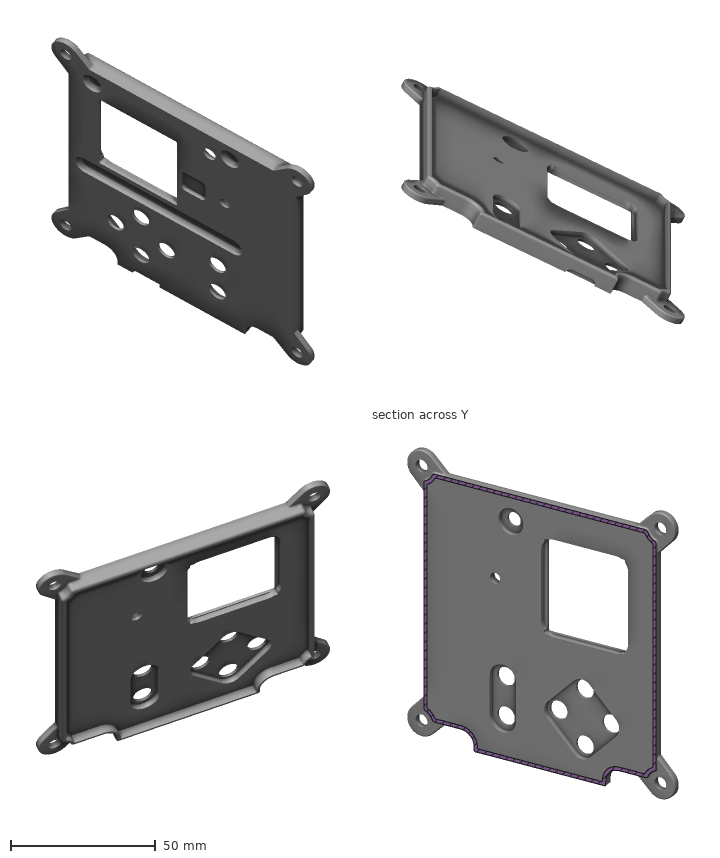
import cadquery as cq
import math

outer_side = 109.0
body_depth = 6.3
body_half = 47.3
scallop_radius = 5.0
scallop_edge_round = 1.3
back_edge_round = 1.0
tongue_half_width = 26.8
tongue_fillet = 5.3
tongue_corner_round = 0.4

floor_thickness = 3.0
side_wall = 1.5
front_skin = 1.0

ear_radius = 6.0
ear_thickness = 2.4
ear_edge_round = 0.49
ear_joint_fillet = 0.7
ear_root = 38.6
ear_hole_diameter = 4.8
ear_center = outer_side / 2 - ear_radius
corner_signs = [(x, z) for x in (-1, 1) for z in (-1, 1)]

window_center = (-18.2, 15.5)
window_size = (32.9, 36.1)
window_corner_radius = 0.7
screen_margin = 1.2
screen_sill = 0.5
screen_corner_radius = 5.0

button_hole_diameter = 7.1
pad_center = (-17.0, -31.5)
pad_hole_offset = 10.7
pad_recess_side = 24.2
pad_recess_corner_radius = 4.6
action_center = (15.0, -31.5)
action_hole_spacing = 15.0
action_recess_radius = 5.3

magnet_centers = [(-37.5, 40.2), (20.3, 40.2)]
magnet_radius = 4.0
magnet_depth = 2.6
square_center = (5.0, 13.5)
square_side = 10.1
square_corner_radius = 2.0
square_depth = 1.5
slot_center = (-9.5, -8.6)
slot_length = 70.0
slot_height = 7.6
slot_depth = 2.6
floor_round = 0.8

sensor_hole_center = (11.8, 36.7)
sensor_hole_diameter = 5.3
sensor_recess_radius = 5.0
reset_hole_center = (18.2, 13.5)
reset_hole_diameter = 4.1

notch_center_x = -14.8
notch_width = 11.3
notch_height = 1.7
notch_depth = 2.0
notch_corner_radius = 2.0

pick_margin = 0.1


def face_plane(depth):
    """Sketch plane at a depth behind the front face; extruding goes toward the back (+Y)."""
    return cq.Workplane(cq.Plane(origin=(0, depth, 0), xDir=(-1, 0, 0), normal=(0, 1, 0)))


def at(x, z):
    """Sketch coordinates of a point given in X and Z."""
    return (-x, z)


def rounded_block(center, size, corner_radius, depth, length):
    block = face_plane(depth).center(*at(*center)).rect(*size).extrude(length)
    return block.edges("|Y").fillet(corner_radius)


def cylinder(center, radius, depth, length):
    return face_plane(depth).center(*at(*center)).circle(radius).extrude(length)


def body_outline(inset, depth, length):
    """Square body with scalloped corners, joined to its bottom tongue, shrunk all round by an inset."""
    side = 2 * (body_half - inset)
    square = face_plane(depth).rect(side, side).extrude(length)
    for x_sign, z_sign in corner_signs:
        center = (x_sign * ear_center, z_sign * ear_center)
        square = square.cut(cylinder(center, scallop_radius + inset, depth, length))
    if inset < scallop_edge_round:
        square = square.edges("|Y").fillet(scallop_edge_round - inset)

    tongue_bottom = inset - outer_side / 2
    tongue_half = tongue_half_width - inset
    tongue = (
        face_plane(depth)
        .center(0, tongue_bottom / 2)
        .rect(2 * tongue_half, -tongue_bottom)
        .extrude(length)
    )
    if inset < tongue_corner_round:
        tongue = tongue.edges("|Y and <Z").fillet(tongue_corner_round - inset)
    joint_z = inset - body_half
    joint = cq.selectors.BoxSelector(
        (-tongue_half - pick_margin, depth - pick_margin, joint_z - pick_margin),
        (tongue_half + pick_margin, depth + length + pick_margin, joint_z + pick_margin),
    )
    return square.union(tongue).edges("|Y").edges(joint).fillet(tongue_fillet + inset)


def ear_profile():
    """Ear of the +X, +Z corner: a round end with two tangent sides running to the body edges."""
    offset_x = ear_root - ear_center
    offset_z = body_half - ear_center
    distance = math.hypot(offset_x, offset_z)
    tangent_angle = math.atan2(offset_z, offset_x) - math.acos(ear_radius / distance)
    tangent = (
        ear_center + ear_radius * math.cos(tangent_angle),
        ear_center + ear_radius * math.sin(tangent_angle),
    )
    tip = ear_center + ear_radius * math.sqrt(0.5)
    return tangent, tip


def ear(x_sign, z_sign):
    (tangent_x, tangent_z), tip = ear_profile()

    def corner(x, z):
        return at(x_sign * x, z_sign * z)

    inner = ear_root - ear_radius
    blank = (
        face_plane(0)
        .moveTo(*corner(ear_root, body_half))
        .lineTo(*corner(tangent_x, tangent_z))
        .threePointArc(corner(tip, tip), corner(tangent_z, tangent_x))
        .lineTo(*corner(body_half, ear_root))
        .lineTo(*corner(inner, inner))
        .close()
        .extrude(ear_thickness)
    )
    return blank.faces(">Y").edges().fillet(ear_edge_round)


result = body_outline(0, 0, body_depth).faces(">Y").edges().fillet(back_edge_round)
for x_sign, z_sign in corner_signs:
    result = result.union(ear(x_sign, z_sign))
body_reach = body_half + pick_margin
ear_joints = cq.selectors.BoxSelector(
    (-body_reach, ear_thickness - pick_margin, -body_reach),
    (body_reach, ear_thickness + pick_margin, body_reach),
)
result = result.edges(ear_joints).fillet(ear_joint_fillet)
for x_sign, z_sign in corner_signs:
    center = (x_sign * ear_center, z_sign * ear_center)
    result = result.cut(cylinder(center, ear_hole_diameter / 2, 0, body_depth))

result = result.cut(body_outline(side_wall, floor_thickness, body_depth))

result = result.cut(rounded_block(window_center, window_size, window_corner_radius, 0, body_depth))
screen_size = (window_size[0] + 2 * screen_margin, window_size[1] + 2 * screen_sill)
recess_length = floor_thickness - front_skin
result = result.cut(
    rounded_block(window_center, screen_size, screen_corner_radius, front_skin, recess_length)
)

pad_x, pad_z = pad_center
pad_recess = (
    face_plane(front_skin)
    .transformed(rotate=(0, 0, 45), offset=at(*pad_center))
    .rect(pad_recess_side, pad_recess_side)
    .extrude(recess_length)
    .edges("|Y")
    .fillet(pad_recess_corner_radius)
)
result = result.cut(pad_recess)
for step_x, step_z in [(1, 0), (0, 1), (-1, 0), (0, -1)]:
    center = (pad_x + step_x * pad_hole_offset, pad_z + step_z * pad_hole_offset)
    result = result.cut(cylinder(center, button_hole_diameter / 2, 0, body_depth))

action_x, action_z = action_center
action_recess = (
    face_plane(front_skin)
    .center(*at(*action_center))
    .slot2D(action_hole_spacing + 2 * action_recess_radius, 2 * action_recess_radius, 90)
    .extrude(recess_length)
)
result = result.cut(action_recess)
for z_sign in (-1, 1):
    center = (action_x, action_z + z_sign * action_hole_spacing / 2)
    result = result.cut(cylinder(center, button_hole_diameter / 2, 0, body_depth))

result = result.cut(cylinder(sensor_hole_center, sensor_hole_diameter / 2, 0, body_depth))
result = result.cut(cylinder(sensor_hole_center, sensor_recess_radius, front_skin, recess_length))
result = result.cut(cylinder(reset_hole_center, reset_hole_diameter / 2, 0, body_depth))

for center in magnet_centers:
    pocket = cylinder(center, magnet_radius, 0, magnet_depth)
    result = result.cut(pocket.faces(">Y").edges().fillet(floor_round))
square_size = (square_side, square_side)
result = result.cut(rounded_block(square_center, square_size, square_corner_radius, 0, square_depth))
slot = (
    face_plane(0)
    .center(*at(*slot_center))
    .slot2D(slot_length, slot_height)
    .extrude(slot_depth)
)
result = result.cut(slot.faces(">Y").edges().fillet(floor_round))

notch = (
    cq.Workplane("XY", origin=(notch_center_x, 0, -outer_side / 2))
    .rect(notch_width, 2 * notch_depth)
    .extrude(notch_height)
    .edges("|Z and >Y")
    .fillet(notch_corner_radius)
)
result = result.cut(notch)